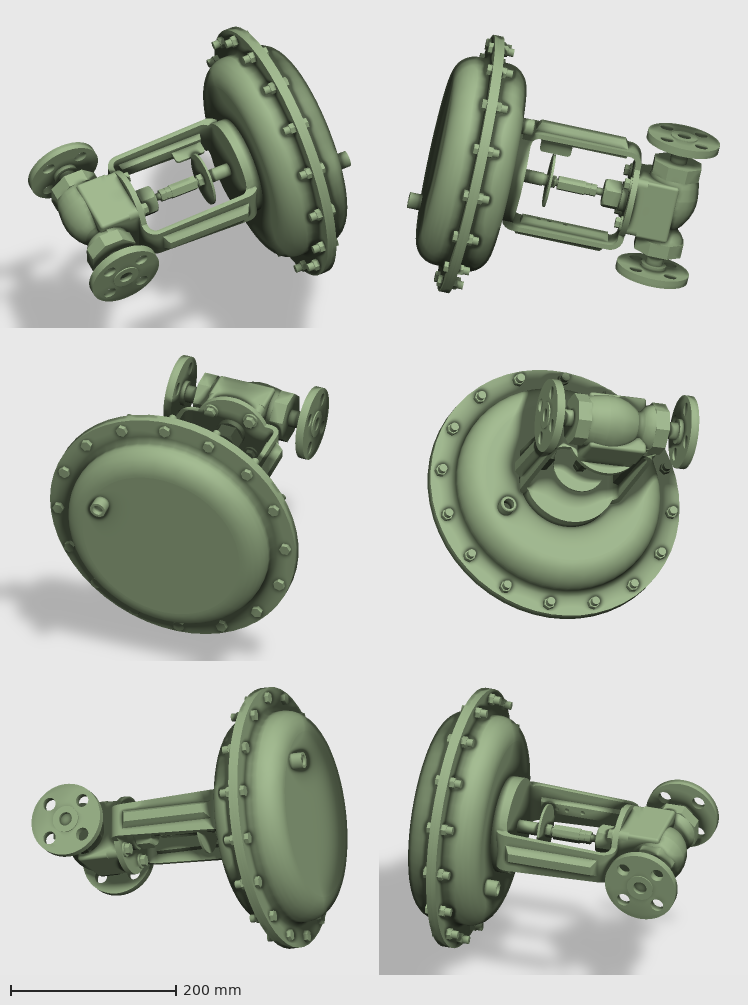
import cadquery as cq
import math


casing_flange_radius = 317.5 / 2
casing_radius = 128.5
casing_flat_radius = 101.5
casing_root_fillet = 6.0
casing_top = 289.0
casing_bottom = 198.8
flange_top = 250.0
flange_bottom = 238.0
diaphragm_top = 245.0
diaphragm_bottom = 243.0

casing_bolt_count = 16
casing_bolt_circle = 147.0
casing_bolt_start = 18.9
casing_hex_radius = 7.0
casing_hex_chamfer = 1.0
casing_head_height = 5.5
casing_nut_height = 6.5
casing_stud_radius = 5.0
casing_stud_end = 224.2

port_x = 76.7
port_z = 44.3
port_radius = 9.8
port_bore_radius = 6.5
port_length = 15.0
port_chamfer = 1.0

spindle_radius = 8.0
spindle_end = 154.5
spindle_neck_radius = 7.0
indicator_radius = 32.5
indicator_top = 149.0
indicator_bottom = 146.0
rod_radius = 4.5
lock_nut_radius = 8.0
lock_nut_chamfer = 1.0
upper_nut_bottom = 139.0
coupling_radius = 9.0
coupling_top = 136.5
coupling_bottom = 103.0
middle_nut_bottom = 96.2
lower_nut_bottom = 89.0
hex_tilt = 3.6

hub_radius = 59.0
hub_bottom = 181.3
leg_top = 192.0
leg_outer_x = 63.8
leg_thickness = 6.0
leg_half_width_top = 25.0
leg_half_width_bottom = 19.2
leg_bend_start = 178.2
leg_bend_radius = 17.5
hub_blend_radius = 10.8
plate_top = 51.0
plate_thickness = 7.0
plate_radius = 47.5
bend_outer_radius = 16.0
bend_inner_radius = 9.5

outer_rib_bottom = 62.8
outer_rib_top = 178.2
outer_rib_half_width = 11.0
outer_rib_height = 9.0
outer_rib_inset = 5.5
inner_rib_bottom = 61.0
inner_rib_top = 170.0
inner_rib_half_width = 8.7
inner_rib_height = 7.3
inner_rib_inset = 1.7
rib_hole_radius = 2.8
rib_hole_heights = (148.5, 135.5, 115.8)

tab_top = 167.5
tab_bottom = 129.0
tab_inner_x = 35.2
tab_thickness = 3.5
tab_corner_radius = 4.2

plate_bolt_offset = 25.5
washer_radius = 9.0
washer_thickness = 2.5
plate_bolt_radius = 7.0
plate_bolt_height = 6.0

gland_top = 80.2
gland_bottom = 60.3
gland_radius = 18.5
gland_chamfer = 3.0
gland_tilt = 1.8
gland_neck_radius = 14.5
gland_neck_bottom = 58.5
boss_radius = 18.0

block_width = 72.0
block_step = 31.7
block_bottom = -6.5
block_upper_corner = 7.3
block_lower_corner = 3.5

octagon_flats = 57.5
octagon_tilt = 360 / 16
octagon_inner_x = 41.0
octagon_outer_x = 58.0
saddle_radius = 28.5

globe_end_radius = 29.0
belly_rise = (-24.8, 32.8)
belly_crest = (-18.5, 33.5)
belly_fall = (5.2, 30.5)
waist_start = (21.3, 21.0)
waist_bottom = (25.5, 18.5)
waist_end = (29.5, 21.0)
outlet_flare = (35.0, 25.8)

pipe_radius = 10.5
pipe_bore_radius = 8.5
pipe_bore_depth = 6.0
collar_radius = 15.5
collar_start = 75.5
pipe_flange_radius = 44.5
pipe_flange_start = 80.5
pipe_flange_end = 90.3
raised_face_radius = 16.5
raised_face_end = 91.7
pipe_hole_radius = 8.0
pipe_hole_offset = 21.3


def disc(y_low, y_high, radius, x=0, z=0):
    """Cylinder along Y."""
    base = cq.Workplane("XZ", origin=(x, y_low, z))
    return base.circle(radius).extrude(y_low - y_high)


def hexagon(y_low, y_high, corner_radius, tilt=0, x=0, z=0):
    """Hexagonal prism along Y; the tilt turns its first corner from +X toward +Z."""
    base = cq.Workplane("XZ", origin=(x, y_low, z)).transformed(rotate=(0, 0, tilt))
    return base.polygon(6, 2 * corner_radius).extrude(y_low - y_high)


def chamfered_hexagon(y_low, y_high, corner_radius, chamfer, ends, tilt=0, x=0, z=0):
    """Hexagonal nut with its corners turned off at the chosen ends."""
    turned = disc(y_low, y_high, corner_radius, x, z).faces(ends).chamfer(chamfer)
    return hexagon(y_low, y_high, corner_radius, tilt, x, z).intersect(turned)


def casing_half(face, seat, joint):
    """Domed half of the casing with its flange, running from the dome face to the joint."""
    outward = math.copysign(1, face - seat)
    dome_radius = casing_radius - casing_flat_radius
    dome_start = face - outward * dome_radius
    root = seat + outward * casing_root_fillet
    diagonal = math.sqrt(0.5)
    profile = (
        cq.Workplane("XY")
        .moveTo(0, joint)
        .lineTo(casing_flange_radius, joint)
        .lineTo(casing_flange_radius, seat)
        .lineTo(casing_radius + casing_root_fillet, seat)
        .threePointArc(
            (
                casing_radius + casing_root_fillet * (1 - diagonal),
                seat + outward * casing_root_fillet * (1 - diagonal),
            ),
            (casing_radius, root),
        )
        .lineTo(casing_radius, dome_start)
        .threePointArc(
            (casing_flat_radius + dome_radius * diagonal, dome_start + outward * dome_radius * diagonal),
            (casing_flat_radius, face),
        )
        .lineTo(0, face)
        .close()
    )
    return profile.revolve(360, (0, 0, 0), (0, 1, 0))


def casing_bolt(angle):
    """Bolt head above the casing flange, with the nut and the stud end below it."""
    x = casing_bolt_circle * math.cos(math.radians(angle))
    z = casing_bolt_circle * math.sin(math.radians(angle))
    head = hexagon(flange_top, flange_top + casing_head_height, casing_hex_radius, angle, x, z)
    nut = chamfered_hexagon(
        flange_bottom - casing_nut_height, flange_bottom,
        casing_hex_radius, casing_hex_chamfer, "<Y", angle, x, z,
    )
    stud = disc(casing_stud_end, flange_top, casing_stud_radius, x, z)
    return stud.union(head).union(nut)


def make_spindle():
    """Stem, travel indicator, lock nuts and coupling, ending on the gland nut."""
    spindle = disc(spindle_end, casing_bottom, spindle_radius)
    spindle = spindle.union(disc(indicator_top, spindle_end, spindle_neck_radius))
    spindle = spindle.union(disc(indicator_bottom, indicator_top, indicator_radius))
    spindle = spindle.union(disc(gland_top, indicator_bottom, rod_radius))
    spindle = spindle.union(hexagon(coupling_bottom, coupling_top, coupling_radius, hex_tilt))
    for low, high, ends in (
        (upper_nut_bottom, indicator_bottom, "<Y"),
        (middle_nut_bottom, coupling_bottom, "<Y"),
        (lower_nut_bottom, middle_nut_bottom, "<Y or >Y"),
    ):
        nut = chamfered_hexagon(low, high, lock_nut_radius, lock_nut_chamfer, ends, hex_tilt)
        spindle = spindle.union(nut)
    return spindle


def make_actuator():
    """Casing with its bolts, diaphragm rim and air ports, together with the spindle."""
    upper_port = disc(casing_top, casing_top + port_length, port_radius, port_x, port_z)
    upper_bore = disc(casing_top, casing_top + port_length, port_bore_radius, port_x, port_z)
    lower_port = disc(casing_bottom - port_length, casing_bottom, port_radius, -port_x, -port_z)
    lower_port = lower_port.faces("<Y").chamfer(port_chamfer)
    lower_bore = disc(casing_bottom - port_length, casing_bottom, port_bore_radius, -port_x, -port_z)

    actuator = casing_half(casing_top, flange_top, diaphragm_top)
    actuator = actuator.union(disc(diaphragm_bottom, diaphragm_top, casing_flange_radius), clean=False)
    lower_half = casing_half(casing_bottom, flange_bottom, diaphragm_bottom)
    actuator = actuator.union(lower_half, clean=False)

    for index in range(casing_bolt_count):
        angle = casing_bolt_start + index * 360 / casing_bolt_count
        actuator = actuator.union(casing_bolt(angle), clean=False)
    actuator = actuator.union(upper_port.cut(upper_bore), clean=False)
    actuator = actuator.union(lower_port.cut(lower_bore), clean=False)
    return actuator.union(make_spindle(), clean=False)


def leg_band():
    """Bent strip seen along Z: both legs and the bottom cross piece."""
    plate_bottom = plate_top - plate_thickness
    height = leg_bend_start + leg_bend_radius - plate_bottom
    outer = (
        cq.Workplane("XY", origin=(0, plate_bottom + height / 2, -hub_radius))
        .rect(2 * leg_outer_x, height)
        .extrude(2 * hub_radius)
        .edges("|Z and <Y")
        .fillet(bend_outer_radius)
        .edges("|Z and >Y")
        .fillet(leg_bend_radius)
    )
    inner_height = hub_bottom - plate_top
    opening = (
        cq.Workplane("XY", origin=(0, plate_top + inner_height / 2, -hub_radius))
        .rect(2 * (leg_outer_x - leg_thickness), inner_height)
        .extrude(2 * hub_radius)
        .edges("|Z and <Y")
        .fillet(bend_inner_radius)
        .edges("|Z and >Y")
        .fillet(hub_blend_radius)
    )
    return outer.cut(opening)


def leg_taper():
    """Side outline of the legs: narrow at the plate and wide at the hub."""
    plate_bottom = plate_top - plate_thickness
    return (
        cq.Workplane("YZ", origin=(-leg_outer_x, 0, 0))
        .polyline([
            (plate_bottom, -leg_half_width_bottom),
            (hub_bottom, -leg_half_width_top),
            (leg_top, -leg_half_width_top),
            (leg_top, leg_half_width_top),
            (hub_bottom, leg_half_width_top),
            (plate_bottom, leg_half_width_bottom),
        ])
        .close()
        .extrude(2 * leg_outer_x)
    )


def rib(side, base_x, y_low, y_high, half_width, height, inset):
    """Bar on a leg, raised along X toward the given side, with all four flanks sloping in."""
    plane = cq.Plane(origin=(base_x, (y_low + y_high) / 2, 0), xDir=(0, 1, 0), normal=(side, 0, 0))
    slope = math.degrees(math.atan(inset / height))
    return cq.Workplane(plane).rect(y_high - y_low, 2 * half_width).extrude(height, taper=slope)


def make_yoke():
    """Hub, bent legs with ribs, mounting plate with bolts, and the scale tab."""
    leg_inner_x = leg_outer_x - leg_thickness
    band = leg_band()
    yoke = band.intersect(leg_taper())
    blend = band.intersect(disc(hub_bottom - hub_blend_radius, leg_top, hub_radius))
    yoke = yoke.union(blend).union(disc(hub_bottom, casing_bottom, hub_radius))
    yoke = yoke.union(disc(plate_top - plate_thickness, plate_top, plate_radius))

    for side in (-1, 1):
        yoke = yoke.union(rib(
            side, side * leg_outer_x, outer_rib_bottom, outer_rib_top,
            outer_rib_half_width, outer_rib_height, outer_rib_inset,
        ))
        yoke = yoke.union(rib(
            -side, side * leg_inner_x, inner_rib_bottom, inner_rib_top,
            inner_rib_half_width, inner_rib_height, inner_rib_inset,
        ))

    inner_rib_face = leg_inner_x - inner_rib_height
    tab = (
        cq.Workplane("XY")
        .box(inner_rib_face - tab_inner_x, tab_top - tab_bottom, tab_thickness)
        .edges("|Z and >X")
        .fillet(tab_corner_radius)
        .translate((-(inner_rib_face + tab_inner_x) / 2, (tab_top + tab_bottom) / 2, 0))
    )
    yoke = yoke.union(tab)

    for y in rib_hole_heights:
        hole = cq.Workplane("YZ", origin=(inner_rib_face, y, 0)).circle(rib_hole_radius)
        yoke = yoke.cut(hole.extrude(inner_rib_height))

    for x in (-plate_bolt_offset, plate_bolt_offset):
        for z in (-plate_bolt_offset, plate_bolt_offset):
            washer_top = plate_top + washer_thickness
            yoke = yoke.union(disc(plate_top, washer_top, washer_radius, x, z))
            yoke = yoke.union(hexagon(washer_top, washer_top + plate_bolt_height, plate_bolt_radius, 0, x, z))

    yoke = yoke.cut(disc(hub_bottom, casing_bottom, spindle_radius))
    return yoke.cut(disc(plate_top - plate_thickness, gland_neck_bottom, boss_radius))


def make_globe():
    """Turned belly of the valve with its waist near the +X end."""
    return (
        cq.Workplane("XY")
        .moveTo(-octagon_inner_x, 0)
        .lineTo(-octagon_inner_x, globe_end_radius)
        .threePointArc(belly_rise, belly_crest)
        .threePointArc(belly_fall, waist_start)
        .threePointArc(waist_bottom, waist_end)
        .threePointArc(outlet_flare, (octagon_inner_x, saddle_radius))
        .lineTo(octagon_inner_x, 0)
        .close()
        .revolve(360, (0, 0, 0), (1, 0, 0))
    )


def make_block():
    """Square bonnet block under the yoke plate, rounded more strongly above its step."""
    top = plate_top - plate_thickness
    upper = (
        cq.Workplane("XZ", origin=(0, block_step, 0))
        .rect(block_width, block_width)
        .extrude(block_step - top)
        .edges("|Y")
        .fillet(block_upper_corner)
    )
    lower = (
        cq.Workplane("XZ", origin=(0, block_bottom, 0))
        .rect(block_width, block_width)
        .extrude(block_bottom - block_step)
        .edges("|Y or <Y")
        .fillet(block_lower_corner)
    )
    return lower.union(upper)


def make_valve_body():
    """Globe, bonnet block, octagonal ends and gland nut."""
    saddle = (
        cq.Workplane("YZ", origin=(-octagon_inner_x, 0, 0))
        .moveTo(0, -saddle_radius)
        .threePointArc((saddle_radius, 0), (0, saddle_radius))
        .close()
        .extrude(2 * octagon_inner_x)
    )
    body = make_globe().union(saddle).union(make_block())

    corner_diameter = octagon_flats / math.cos(math.radians(octagon_tilt))
    for start in (-octagon_outer_x, octagon_inner_x):
        octagon = (
            cq.Workplane("YZ", origin=(start, 0, 0))
            .transformed(rotate=(0, 0, octagon_tilt))
            .polygon(8, corner_diameter)
            .extrude(octagon_outer_x - octagon_inner_x)
        )
        body = body.union(octagon)

    body = body.union(disc(plate_top - plate_thickness, gland_neck_bottom, boss_radius))
    body = body.union(disc(gland_neck_bottom, gland_bottom, gland_neck_radius))
    gland_nut = chamfered_hexagon(gland_bottom, gland_top, gland_radius, gland_chamfer, ">Y", gland_tilt)
    return body.union(gland_nut)


def make_pipe_end(side):
    """Pipe stub, collar and bolted flange with a raised face, on the given side of the valve."""

    def ring(start, end, radius):
        return cq.Workplane("YZ", origin=(start, 0, 0)).circle(radius).extrude(end - start)

    stub = ring(octagon_outer_x, pipe_flange_start, pipe_radius)
    collar = ring(collar_start, pipe_flange_start, collar_radius)
    flange = ring(pipe_flange_start, pipe_flange_end, pipe_flange_radius)
    raised_face = ring(pipe_flange_end, raised_face_end, raised_face_radius)
    bore = ring(raised_face_end - pipe_bore_depth, raised_face_end, pipe_bore_radius)
    bolt_holes = (
        cq.Workplane("YZ", origin=(pipe_flange_start, 0, 0))
        .rect(2 * pipe_hole_offset, 2 * pipe_hole_offset, forConstruction=True)
        .vertices()
        .circle(pipe_hole_radius)
        .extrude(pipe_flange_end - pipe_flange_start)
    )
    pipe_end = stub.union(collar).union(flange).union(raised_face).cut(bore).cut(bolt_holes)
    if side < 0:
        pipe_end = pipe_end.rotate((0, 0, 0), (0, 1, 0), 180)
    return pipe_end


actuator = make_actuator()
yoke = make_yoke()
valve_body = make_valve_body()
pipe_ends = [make_pipe_end(side) for side in (-1, 1)]

bodies = [actuator, yoke, valve_body, *pipe_ends]
result = cq.Compound.makeCompound([body.solids().val() for body in bodies])